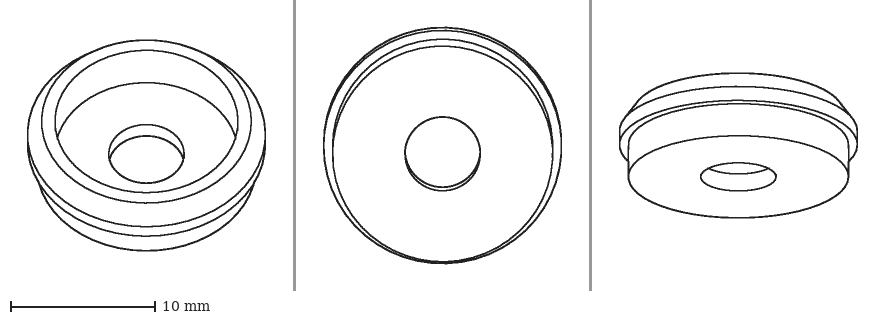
import cadquery as cq

rim_diameter = 16.51
top_diameter = 14.55
spigot_diameter = 15.27
bore_diameter = 12.7
hole_diameter = 5.22

spigot_height = 2.4
rim_height = 1.04
taper_height = 1.4
floor_thickness = 1.27

rim_top = spigot_height + rim_height
total_height = rim_top + taper_height

rim_radius = rim_diameter / 2
top_radius = top_diameter / 2
spigot_radius = spigot_diameter / 2
bore_radius = bore_diameter / 2
hole_radius = hole_diameter / 2

half_section = (
    cq.Workplane("XZ")
    .moveTo(hole_radius, 0)
    .lineTo(spigot_radius, 0)
    .lineTo(spigot_radius, spigot_height)
    .lineTo(rim_radius, spigot_height)
    .lineTo(rim_radius, rim_top)
    .lineTo(top_radius, total_height)
    .lineTo(bore_radius, total_height)
    .lineTo(bore_radius, floor_thickness)
    .lineTo(hole_radius, floor_thickness)
    .close()
)

result = half_section.revolve(360, (0, 0, 0), (0, 1, 0))